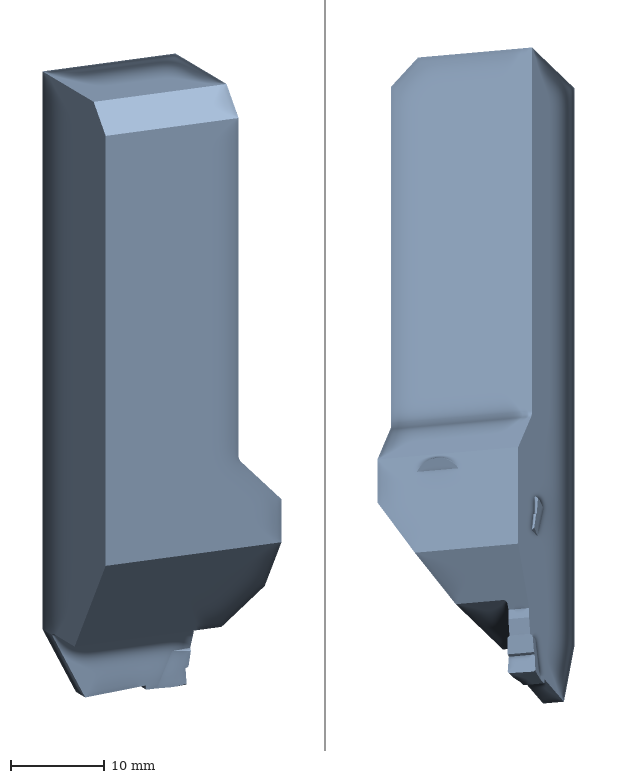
import cadquery as cq
import math


shank = 15.75
total_height = 69.85
top_chamfer = 3.0

jaw_back_y = 20.83
jaw_ramp_z = 28.75
jaw_ramp_fillet = 1.0
jaw_low_z = 12.87
jaw_mouth_y = 16.5
jaw_mouth_z = 6.46

blade_thickness = 2.32
shoulder_z = 7.8
shoulder_width = 8.02
shoulder_fillet = 0.4
side_slope_z = 18.87
front_slope_z = 7.6
blade_toe_y = 3.96
blade_toe_z = 0.1
blade_heel_y = 11.15
blade_heel_z = 0.53

screw_radius = 2.7
screw_tilt = 23.0
screw_x = 9.0
screw_tip_y = 21.34
screw_tip_z = 23.1
screw_head_length = 3.0

insert_tilt = 2.8
tip_y = 15.8
tip_u = 4.6
tip_v = 9.945
lead = 0.08
nose_radius = 0.3
end_relief = 0.28
land_v = 8.0
step_u = 4.95
step_v = 7.85
ramp_u = 5.4
ramp_v = 5.9
top_u = 5.9 
top_v = 4.2
head_start_v = 5.9
head_overhang = 0.405
relief_u = 3.12
relief_v = 6.15
relief_angle = 27.6


def make_holder_block():
    """Side outline and front outline, each extruded through, and their common volume."""
    jaw_step = jaw_back_y - shank
    side = (
        cq.Workplane("YZ")
        .polyline([
            (0, front_slope_z),
            (blade_toe_y, blade_toe_z),
            (blade_heel_y, blade_heel_z),
            (jaw_mouth_y, jaw_mouth_z),
            (jaw_back_y, jaw_low_z),
            (jaw_back_y, jaw_ramp_z - jaw_step),
            (shank, jaw_ramp_z),
            (shank, total_height),
            (0, total_height),
        ])
        .close()
        .extrude(shank)
        .edges(cq.selectors.NearestToPointSelector((shank / 2, shank, jaw_ramp_z)))
        .fillet(jaw_ramp_fillet)
    )
    arc_reach = shoulder_fillet * (1 - math.sqrt(0.5))
    front = (
        cq.Workplane("XZ")
        .moveTo(0, 0)
        .lineTo(blade_thickness, 0)
        .lineTo(blade_thickness, shoulder_z - shoulder_fillet)
        .threePointArc(
            (blade_thickness + arc_reach, shoulder_z - arc_reach),
            (blade_thickness + shoulder_fillet, shoulder_z),
        )
        .lineTo(shoulder_width, shoulder_z)
        .lineTo(shank, side_slope_z)
        .lineTo(shank, total_height - top_chamfer)
        .lineTo(shank - top_chamfer, total_height)
        .lineTo(0, total_height)
        .close()
        .extrude(-jaw_back_y)
    )
    return side.intersect(front)


def make_screw_head():
    """Tilted round head, buried in the jaw except for its upper rim."""
    tilt = math.radians(screw_tilt)
    axis = (0, math.cos(tilt), -math.sin(tilt))
    center = (
        screw_x,
        screw_tip_y - screw_radius * math.sin(tilt),
        screw_tip_z - screw_radius * math.cos(tilt),
    )
    face = cq.Workplane(cq.Plane(origin=center, xDir=(1, 0, 0), normal=axis))
    return face.circle(screw_radius).extrude(-screw_head_length)


def insert_prism(start_x, width):
    """Insert outline extruded along X, with u along Y and v along Z."""
    upper = [
        (top_u, top_v),
        (ramp_u, ramp_v),
        (step_u, step_v),
        (tip_u, land_v),
        (tip_u, tip_v),
        (0, tip_v - end_relief),
    ]
    lower = [(u, -v) for u, v in reversed(upper)]
    return cq.Workplane("YZ", origin=(start_x, 0, 0)).polyline(upper + lower).close().extrude(width)


def make_insert_head():
    """Upper end of the insert, widening on both sides from the relief line to the cutting edge."""
    angle = math.radians(relief_angle)
    away_u = math.cos(angle)
    away_v = math.sin(angle)
    reach = (tip_u - relief_u) * away_u + (tip_v - relief_v) * away_v
    line_start = cq.Plane(
        origin=(0, relief_u, relief_v),
        xDir=(0, away_u, away_v),
        normal=(0, -away_v, away_u),
    )
    wedge = (
        cq.Workplane(line_start)
        .polyline([
            (0, 0),
            (reach, head_overhang),
            (reach, -blade_thickness - head_overhang),
            (0, -blade_thickness),
        ])
        .close()
        .extrude(tip_v, both=True)
    )
    full_width = blade_thickness + 2 * head_overhang
    right_side = blade_thickness + head_overhang
    stepped_block = (
        cq.Workplane("XZ")
        .polyline([
            (0, head_start_v),
            (blade_thickness, head_start_v),
            (right_side, head_start_v + head_overhang),
            (right_side, tip_v),
            (-head_overhang, tip_v),
            (-head_overhang, head_start_v + head_overhang),
        ])
        .close()
        .extrude(-top_u)
    )
    return insert_prism(-head_overhang, full_width).intersect(stepped_block).intersect(wedge)


def make_end_trim():
    """Block with sloping ends and rounded corners that shapes both cutting edges."""
    right_side = blade_thickness + head_overhang
    return (
        cq.Workplane("XZ")
        .polyline([
            (-head_overhang, -tip_v),
            (right_side, lead - tip_v),
            (right_side, tip_v - lead),
            (-head_overhang, tip_v),
        ])
        .close()
        .extrude(-top_u)
        .edges("|Y")
        .fillet(nose_radius)
    )


def make_insert():
    head = make_insert_head()
    body = (
        insert_prism(0, blade_thickness)
        .union(head)
        .union(head.mirror("XY"))
        .intersect(make_end_trim())
    )
    tilt = math.radians(insert_tilt)
    seat_y = tip_y - tip_u * math.cos(tilt) - tip_v * math.sin(tilt)
    seat_z = tip_v * math.cos(tilt) - tip_u * math.sin(tilt)
    return body.rotate((0, 0, 0), (1, 0, 0), insert_tilt).translate((0, seat_y, seat_z))


insert = make_insert()
holder = make_holder_block().union(make_screw_head()).cut(insert)

result = cq.Compound.makeCompound([holder.val(), insert.val()])